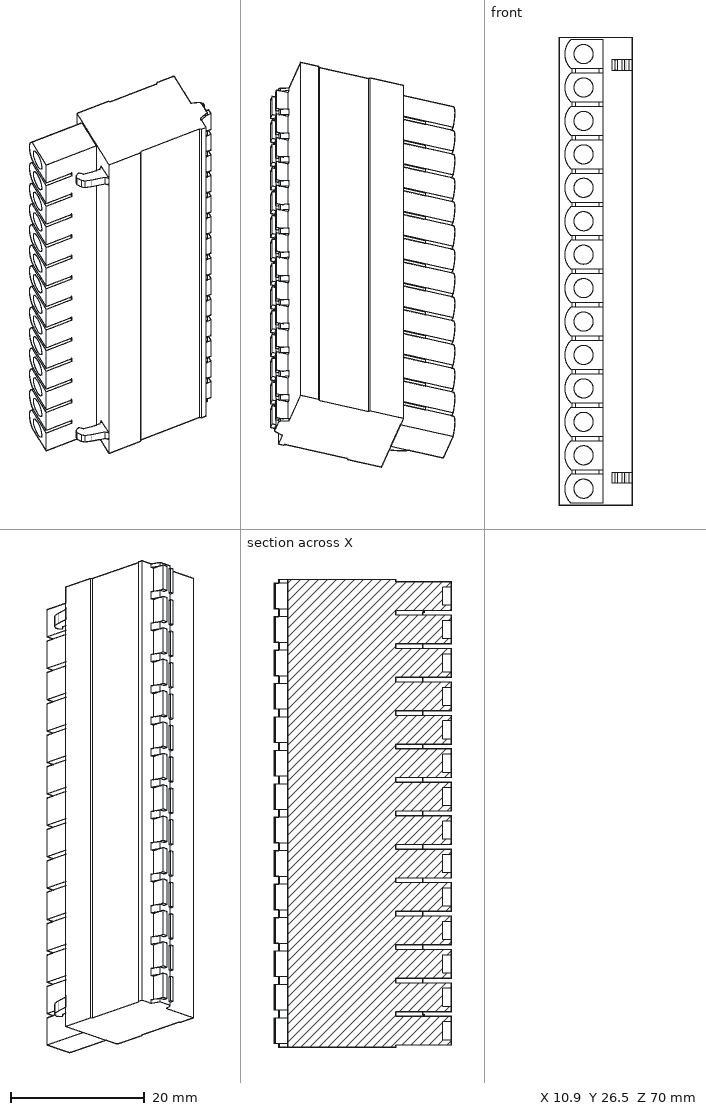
import cadquery as cq

pole_count = 14
length = 70.0
pitch = length / pole_count
pole_heights = [(i - (pole_count - 1) / 2) * pitch for i in range(pole_count)]

body_width = 10.9
body_depth = 16.2
total_depth = 26.5
groove_depth = 0.2
groove_start = 5.45
left_groove_end = 13.4
right_groove_end = 15.4

tower_length = 8.3
tower_height = 4.35
tower_left = 0.85
tower_shoulder = 1.75
tower_right = 6.6
hole_x = 3.65
hole_diameter = 2.9
hole_depth = 1.3

rib_length = 4.05
left_rib = (1.9, 2.45)
right_rib = (5.95, tower_right)

ridge_left = 5.75
ridge_right = 8.95
ridge_height = 1.4
ridge_top_left = 6.4
ridge_top_right = 8.5
ridge_shoulder = (6.15, 1.2)
post_height = 3.85
left_post = (6.15, 6.65)
right_post = (7.6, 8.5)
left_post_rise = 1.8
right_post_rise = total_depth - tower_length - body_depth

latch_height = 1.6
latch_from_end = 4.1


def block(x_range, y_range, height, z_middle):
    """Box spanning the given X and Y ranges, centred on z_middle."""
    x0, x1 = x_range
    y0, y1 = y_range
    return (
        cq.Workplane("XY", origin=((x0 + x1) / 2, (y0 + y1) / 2, z_middle))
        .box(x1 - x0, y1 - y0, height)
    )


def prism(points, height, z_middle):
    """Closed outline in XY extruded along Z, centred on z_middle."""
    return (
        cq.Workplane("XY", origin=(0, 0, z_middle))
        .polyline(points).close()
        .extrude(height / 2, both=True)
    )


def housing():
    """Housing with a shallow bevel-ended groove along each side."""
    d = groove_depth
    outline = [
        (0, 0),
        (body_width, 0),
        (body_width, groove_start - d),
        (body_width - d, groove_start),
        (body_width - d, right_groove_end - d),
        (body_width, right_groove_end),
        (body_width, body_depth),
        (0, body_depth),
        (0, left_groove_end),
        (d, left_groove_end - d),
        (d, groove_start),
        (0, groove_start - d),
    ]
    return prism(outline, length, 0)


def tower(z):
    """Plug tower with a rounded left side and a blind contact hole in its end."""
    half = tower_height / 2
    solid = (
        cq.Workplane("XZ", origin=(0, 0, z))
        .moveTo(tower_shoulder, -half)
        .lineTo(tower_right, -half)
        .lineTo(tower_right, half)
        .lineTo(tower_shoulder, half)
        .threePointArc((tower_left, 0), (tower_shoulder, -half))
        .close()
        .extrude(tower_length)
    )
    hole = (
        cq.Workplane("XZ", origin=(hole_x, -tower_length, z))
        .circle(hole_diameter / 2)
        .extrude(-hole_depth)
    )
    return solid.cut(hole)


def rear_ridge():
    """Ridge along the back, its flanks cut away at every pole to leave room for the posts."""
    shoulder_x, shoulder_rise = ridge_shoulder
    ridge_top = body_depth + ridge_height
    outline = [
        (ridge_left, body_depth),
        (shoulder_x, body_depth + shoulder_rise),
        (ridge_top_left, ridge_top),
        (ridge_top_right, ridge_top),
        (ridge_right, body_depth),
    ]
    ridge = prism(outline, length, 0)
    flanks = ((ridge_left, left_post[0]), (right_post[1], ridge_right))
    for z in pole_heights:
        for flank in flanks:
            ridge = ridge.cut(block(flank, (body_depth, ridge_top), post_height, z))
    return ridge


def posts(z):
    """Left and right posts of one pole."""
    left = block(left_post, (body_depth, body_depth + left_post_rise), post_height, z)
    right = block(right_post, (body_depth, body_depth + right_post_rise), post_height, z)
    return left.union(right)


def latch(z):
    """Hooked finger with a flared root on the mating face."""
    outline = [
        (8.25, 0), (8.7, -0.4), (8.7, -1.7), (8.5, -3.0), (7.9, -3.65),
        (8.3, -4.2), (8.7, -4.3), (9.4, -3.85), (9.7, -3.4), (10.0, -2.45), (10.4, -0.4), (10.85, 0),
    ]
    return prism(outline, latch_height, z)


result = housing()

result = result.union(rear_ridge())

for z in pole_heights:
    result = result.union(tower(z)).union(posts(z))

rib_height = pitch - tower_height
for z in pole_heights[:-1]:
    for rib in (left_rib, right_rib):
        result = result.union(block(rib, (-rib_length, 0), rib_height, z + pitch / 2))

for side in (-1, 1):
    result = result.union(latch(side * (length / 2 - latch_from_end)))